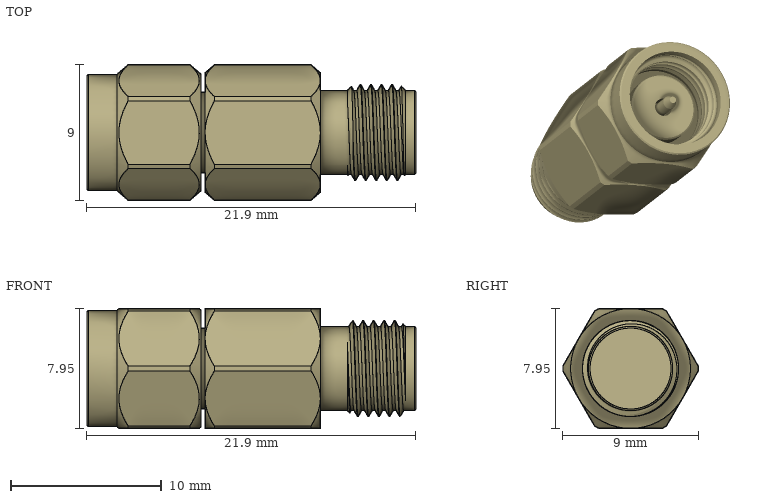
import cadquery as cq
import math


length = 21.85
sleeve_end = 1.99
nut_end = 7.58
body_start = 7.85
body_end = 15.48
thread_start = 17.28
thread_end = 21.15

sleeve_radius = 3.87
sleeve_chamfer = 0.09
neck_radius = 2.69
barrel_radius = 2.8
barrel_chamfer = 0.1

across_flats = 7.95
hexagon_half_angle = math.radians(30)
corner_radius = 4.5
nut_chamfer_length = 0.75
nut_chamfer_drop = corner_radius - sleeve_radius
body_chamfer_length = 0.61
body_chamfer_drop = 0.52

pitch = 0.7
flank_angle = math.radians(30)
outer_crest_width = 0.05
inner_root_width = 0.15
overlap = 0.07
outer_crest_radius = 3.19
outer_crest_below = 16.58

mouth_radius = 3.19
mouth_depth = 0.8
lead_in_length = 0.37
inner_crest_radius = 2.82
inner_root_radius = 3.17
inner_root_below = 0.61
socket_depth = 3.71

boss_radius = 2.2
boss_chamfer = 0.1
boss_front = 2.45
gap_radius = 0.6
pin_radius = 0.44
pin_tip_radius = 0.22
pin_tip = 0.45
pin_shoulder = 1.15


def turned(points):
    """Solid of revolution about X from (x, radius) points."""
    return cq.Workplane("XY").polyline(points).close().revolve(360, (0, 0, 0), (1, 0, 0))


def shaft(start, end, radius):
    """Plain cylinder on the X axis."""
    return cq.Workplane("YZ").workplane(offset=start).circle(radius).extrude(end - start)


def hexagon(start, end, chamfer_length, chamfer_drop):
    """Hexagonal prism on the X axis with both ends chamfered by cones."""
    across_corners = across_flats / math.cos(hexagon_half_angle)
    prism = cq.Workplane("YZ").workplane(offset=start).polygon(6, across_corners).extrude(end - start)
    end_radius = corner_radius - chamfer_drop
    envelope = turned([
        (start, 0),
        (start, end_radius),
        (start + chamfer_length, corner_radius),
        (end - chamfer_length, corner_radius),
        (end, end_radius),
        (end, 0),
    ])
    return prism.intersect(envelope)


def thread_ridge(surface_radius, tip_radius, tip_width, start, end):
    """Helical V ridge reaching from a round surface to its tip; it starts on the -Z side."""
    base_radius = surface_radius - overlap
    half_tip = tip_width / 2
    half_base = half_tip + (tip_radius - base_radius) * math.tan(flank_angle)
    path = cq.Wire.makeHelix(pitch, end - start, surface_radius)
    ridge = (
        cq.Workplane("XZ")
        .polyline([
            (base_radius, -half_base),
            (tip_radius, -half_tip),
            (tip_radius, half_tip),
            (base_radius, half_base),
        ])
        .close()
        .sweep(cq.Workplane(path), isFrenet=True)
    )
    return ridge.rotate((0, 0, 0), (0, 1, 0), 90).translate((start, 0, 0))


def outer_thread():
    """Barrel thread, tapered to the barrel surface at 45 degrees at both ends."""
    ridge = thread_ridge(barrel_radius, outer_crest_radius, outer_crest_width, outer_crest_below, length)
    inside_radius = barrel_radius - overlap / 2
    outside_radius = outer_crest_radius + overlap
    rise = outside_radius - barrel_radius
    envelope = turned([
        (thread_start, inside_radius),
        (thread_start, barrel_radius),
        (thread_start + rise, outside_radius),
        (thread_end - rise, outside_radius),
        (thread_end, barrel_radius),
        (thread_end, inside_radius),
    ])
    return ridge.intersect(envelope)


def socket():
    """Space cut out of the nut: mouth, conical lead-in and threaded bore."""
    lead_in_end = mouth_depth + lead_in_length
    bore = turned([
        (0, 0),
        (0, mouth_radius),
        (mouth_depth, mouth_radius),
        (lead_in_end, inner_crest_radius),
        (socket_depth, inner_crest_radius),
        (socket_depth, 0),
    ])
    groove_end = socket_depth - pitch / 2
    groove = thread_ridge(
        inner_crest_radius, inner_root_radius, inner_root_width, inner_root_below, groove_end
    )
    return bore, groove


def contact():
    """Chamfered boss on the socket floor with a gap around the pointed pin."""
    boss = shaft(boss_front, socket_depth, boss_radius).faces("<X").chamfer(boss_chamfer)
    boss = boss.cut(shaft(boss_front, socket_depth, gap_radius))
    pin = turned([
        (pin_tip, 0),
        (pin_tip, pin_tip_radius),
        (pin_shoulder, pin_radius),
        (socket_depth, pin_radius),
        (socket_depth, 0),
    ])
    return boss, pin


nut = shaft(0, sleeve_end, sleeve_radius).faces("<X").chamfer(sleeve_chamfer)
nut = nut.union(hexagon(sleeve_end, nut_end, nut_chamfer_length, nut_chamfer_drop))
for space in socket():
    nut = nut.cut(space)

neck = shaft(nut_end, body_start, neck_radius)
body = hexagon(body_start, body_end, body_chamfer_length, body_chamfer_drop)
barrel = shaft(body_end, length, barrel_radius).faces(">X").chamfer(barrel_chamfer)
barrel = barrel.union(outer_thread())

result = nut.union(neck).union(body).union(barrel)
for piece in contact():
    result = result.union(piece)